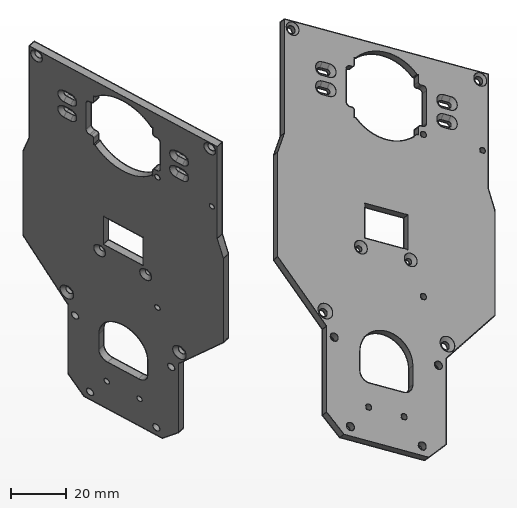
import cadquery as cq

LENGTH = 161.4
WIDTH = 90.9
THICKNESS = 3.0

TOP_WIDTH = 85.2
TAIL_WIDTH = 50.0
END_WIDTH = 35.5
SHOULDER_TOP_Z = 115.2
SHOULDER_BOTTOM_Z = 106.9
TAPER_TOP_Z = 64.5
TAPER_BOTTOM_Z = 41.8
END_CORNER_Z = 7.1

WINDOW_Z = 141.4
WINDOW_DIAMETER = 35.2
WINDOW_NECK_WIDTH = 26.8
WINDOW_NECK_HEIGHT = 24.2
WINDOW_SLOT_WIDTH = 33.5
WINDOW_SLOT_HEIGHT = 16.5
WINDOW_SLOT_CORNER_RADIUS = 1.6
WINDOW_NECK_CORNER_RADIUS = 1.0

PORT_WIDTH = 17.9
PORT_HEIGHT = 14.0
PORT_BOTTOM_Z = 81.7

ARCH_WIDTH = 22.1
ARCH_BOTTOM_Z = 23.5
ARCH_TOP_Z = 46.3
ARCH_CORNER_RADIUS = 4.0

SLOT_X = 25.3
SLOT_ROWS_Z = (145.5, 137.7)
SLOT_STRAIGHT = 3.0
SLOT_DIAMETER = 2.3
SLOT_HEAD_DIAMETER = 5.5

SMALL_DIAMETER = 2.3
TAPPED_DIAMETER = 2.5
SCREW_DIAMETER = 3.2
HEAD_DIAMETER = 5.3
LARGE_HEAD_DIAMETER = 6.1

TOP_CORNER_HOLE = (39.2, 158.3)
TAPER_HOLE = (25.5, 47.8)
TAIL_HOLE = (21.8, 38.3)
END_HOLE = (15.0, 3.9)
INNER_END_HOLE = (7.5, 13.7)
PORT_HOLES = ((-10.7, 77.5), (10.2, 77.8))
SIDE_HOLES = ((15.5, 130.0), (15.5, 64.4))
EDGE_HOLE = (40.2, 130.0)


def mirrored(point):
    """Return a point and its mirror image across X = 0."""
    x, z = point
    return [(-x, z), (x, z)]


def front_sketch():
    """Workplane on the front face whose normal points out of the plate (-Y)."""
    return cq.Workplane("XZ")


def through(sketch):
    """Extrude a closed sketch through the whole plate."""
    return sketch.extrude(-THICKNESS)


def make_plate():
    right_side = [
        (END_WIDTH / 2, 0),
        (TAIL_WIDTH / 2, END_CORNER_Z),
        (TAIL_WIDTH / 2, TAPER_BOTTOM_Z),
        (WIDTH / 2, TAPER_TOP_Z),
        (WIDTH / 2, SHOULDER_BOTTOM_Z),
        (TOP_WIDTH / 2, SHOULDER_TOP_Z),
        (TOP_WIDTH / 2, LENGTH),
    ]
    left_side = [(-x, z) for x, z in reversed(right_side)]
    return through(front_sketch().polyline(right_side + left_side).close())


def make_round_window():
    center = front_sketch().center(0, WINDOW_Z)
    neck = through(center.rect(WINDOW_NECK_WIDTH, WINDOW_NECK_HEIGHT))
    side_limit = through(center.rect(WINDOW_NECK_WIDTH, WINDOW_DIAMETER))
    disc = through(center.circle(WINDOW_DIAMETER / 2)).intersect(side_limit)
    slot = through(center.rect(WINDOW_SLOT_WIDTH, WINDOW_SLOT_HEIGHT))
    slot = slot.edges("|Y").fillet(WINDOW_SLOT_CORNER_RADIUS)
    window = disc.union(neck).union(slot)

    for x in (-WINDOW_NECK_WIDTH / 2, WINDOW_NECK_WIDTH / 2):
        for z in (WINDOW_Z - WINDOW_SLOT_HEIGHT / 2, WINDOW_Z + WINDOW_SLOT_HEIGHT / 2):
            corner = cq.NearestToPointSelector((x, THICKNESS / 2, z))
            window = window.edges("|Y").edges(corner).fillet(WINDOW_NECK_CORNER_RADIUS)
    return window


def make_port():
    center_z = PORT_BOTTOM_Z + PORT_HEIGHT / 2
    return through(front_sketch().center(0, center_z).rect(PORT_WIDTH, PORT_HEIGHT))


def make_arch():
    half = ARCH_WIDTH / 2
    spring_z = ARCH_TOP_Z - half
    arch = through(
        front_sketch()
        .moveTo(-half, ARCH_BOTTOM_Z)
        .lineTo(half, ARCH_BOTTOM_Z)
        .lineTo(half, spring_z)
        .threePointArc((0, ARCH_TOP_Z), (-half, spring_z))
        .close()
    )
    lower_corners = arch.faces("<Z").edges("|Y")
    return lower_corners.fillet(ARCH_CORNER_RADIUS)


def make_holes(points, diameter):
    return through(front_sketch().pushPoints(points).circle(diameter / 2))


def make_countersunk_holes(points, diameter, head_diameter):
    """Through holes with 90 degree countersinks opening on the front face."""
    depth = (head_diameter - diameter) / 2
    cutter = make_holes(points, diameter)
    for x, z in points:
        cone = cq.Solid.makeCone(
            head_diameter / 2, diameter / 2, depth, cq.Vector(x, 0, z), cq.Vector(0, 1, 0)
        )
        cutter = cutter.union(cq.Workplane(cone))
    return cutter


def make_countersunk_slot(x, z):
    """Horizontal slot with a 90 degree countersink opening on the front face."""
    depth = (SLOT_HEAD_DIAMETER - SLOT_DIAMETER) / 2
    center = front_sketch().center(x, z)
    slot = through(center.slot2D(SLOT_STRAIGHT + SLOT_DIAMETER, SLOT_DIAMETER))
    head = center.slot2D(SLOT_STRAIGHT + SLOT_HEAD_DIAMETER, SLOT_HEAD_DIAMETER)
    return slot.union(head.extrude(-depth, taper=45))


result = make_plate()
result = result.cut(make_round_window()).cut(make_port()).cut(make_arch())

for slot_z in SLOT_ROWS_Z:
    for slot_x in (-SLOT_X, SLOT_X):
        result = result.cut(make_countersunk_slot(slot_x, slot_z))

result = result.cut(make_countersunk_holes(mirrored(TOP_CORNER_HOLE), SCREW_DIAMETER, HEAD_DIAMETER))
result = result.cut(make_countersunk_holes(mirrored(TAPER_HOLE), SCREW_DIAMETER, LARGE_HEAD_DIAMETER))
result = result.cut(make_countersunk_holes(PORT_HOLES, TAPPED_DIAMETER, HEAD_DIAMETER))

for hole in (TAIL_HOLE, END_HOLE):
    result = result.cut(make_holes(mirrored(hole), SCREW_DIAMETER))
result = result.cut(make_holes(mirrored(INNER_END_HOLE), TAPPED_DIAMETER))
result = result.cut(make_holes(SIDE_HOLES, TAPPED_DIAMETER))
result = result.cut(make_holes([EDGE_HOLE], SMALL_DIAMETER))